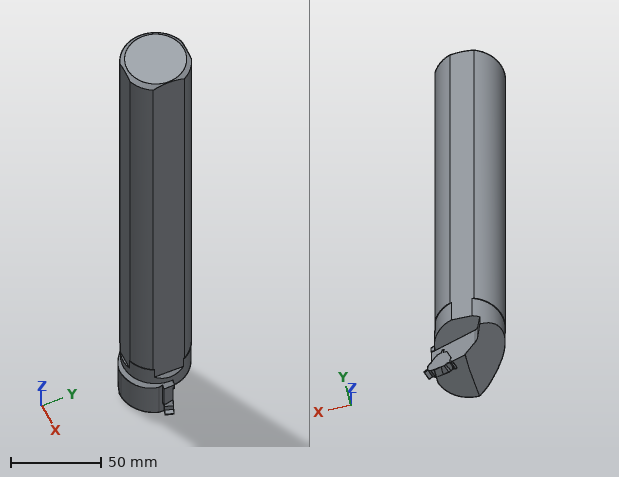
import cadquery as cq
import math


TOTAL_LENGTH = 302.0
SHANK_RADIUS = 20.0
END_CHAMFER_RADIAL = 2.7
END_CHAMFER_AXIAL = 2.0
NECK_RADIUS = 19.5
NECK_TOP = 39.3
FLAT_OFFSET_Y = 18.7
FLAT_OFFSET_X = 17.5
FLAT_BOTTOM = 32.3

HEAD_TOP = 24.2
HEAD_SLOPE_HEIGHT = 2.0
CHEEK_START = (-13.0, -15.0)
CHEEK_END = (-7.5, -19.3)
FRONT_CURVE_MIDDLE = (-4.0, -21.0)
CREST_Y = -22.0
CREST_START_X = -0.3
CREST_END_X = 1.8
SIDE_CURVE_MIDDLE = (14.8, -16.3)
SIDE_X = 20.0
SIDE_CURVE_END_Y = -7.2
NUB_X = 21.7
NUB_TOP_Y = 1.5
NUB_LOW_Y = -4.8
NUB_RELIEF_TOP = 8.8
BOTTOM_FRONT_Z = 2.57
BOTTOM_TILT = 4.0
BEVEL_LOW_X = 1.0
BEVEL_LOW_Z = 1.2
BEVEL_HIGH_Z = 25.5

RAKE_ANGLE = 17.5
FLOOR_Y = 7.5
POCKET_HEIGHT = 21.0
POCKET_CORNER_X = -6.5
POCKET_MOUTH_X = -10.5
POCKET_CORNER_RADIUS = 3.0
INSERT_X = 16.5
INSERT_Z = 7.5
INSERT_THICKNESS = 5.0
TOOTH_COUNT = 3
FIRST_TOOTH_ANGLE = -18.0
TOOTH_TIP_RADIUS = 10.5
TOOTH_HALF_WIDTH = 0.5
TOOTH_ROOT_RADIUS = 8.2
SHOULDER_RADIUS = 7.0
SHOULDER_HALF_WIDTH = 3.3

CLEARANCE = 60.5


def block(x_range, y_range, z_range):
    """Axis-aligned block between the given limits."""
    size = [high - low for low, high in (x_range, y_range, z_range)]
    corner = cq.Vector(x_range[0], y_range[0], z_range[0])
    return cq.Workplane(cq.Solid.makeBox(*size, corner))


def floor_y(x):
    """Y of the inclined pocket floor at a given X."""
    return FLOOR_Y - x * math.tan(math.radians(RAKE_ANGLE))


def make_shank():
    """Turned shank with a chamfered end and a slightly thinner neck."""
    profile = [
        (0, 0),
        (NECK_RADIUS, 0),
        (NECK_RADIUS, NECK_TOP),
        (SHANK_RADIUS, NECK_TOP),
        (SHANK_RADIUS, TOTAL_LENGTH - END_CHAMFER_AXIAL),
        (SHANK_RADIUS - END_CHAMFER_RADIAL, TOTAL_LENGTH),
        (0, TOTAL_LENGTH),
    ]
    return cq.Workplane("XZ").polyline(profile).close().revolve(360, (0, 0), (0, 1))


def flat_cutter(offset, turn):
    """Tool for a flat that runs out along a 45 degree ramp, turned about Z from the +X side."""
    profile = [
        (offset, TOTAL_LENGTH),
        (offset, FLAT_BOTTOM),
        (offset + CLEARANCE, FLAT_BOTTOM - CLEARANCE),
        (offset + CLEARANCE, TOTAL_LENGTH),
    ]
    cutter = cq.Workplane("XZ").polyline(profile).close().extrude(CLEARANCE, both=True)
    return cutter.rotate((0, 0, 0), (0, 0, 1), turn)


def cut_flats(bar):
    """Clamping flats: the front and +X ones stop above the head, the back one runs through."""
    back = block((-CLEARANCE, CLEARANCE), (FLAT_OFFSET_Y, CLEARANCE), (0, TOTAL_LENGTH))
    front = flat_cutter(FLAT_OFFSET_Y, -90)
    side = flat_cutter(FLAT_OFFSET_X, 0)
    return bar.cut(front).cut(back).cut(side)


def make_head_bulge():
    """Eccentric part of the head that stands out from the neck, with a sloped shoulder on top."""
    body = (
        cq.Workplane("XY")
        .moveTo(0, NUB_TOP_Y)
        .lineTo(*CHEEK_START)
        .lineTo(*CHEEK_END)
        .threePointArc(FRONT_CURVE_MIDDLE, (CREST_START_X, CREST_Y))
        .lineTo(CREST_END_X, CREST_Y)
        .threePointArc(SIDE_CURVE_MIDDLE, (SIDE_X, SIDE_CURVE_END_Y))
        .lineTo(SIDE_X, NUB_LOW_Y)
        .lineTo(NUB_X, NUB_LOW_Y)
        .lineTo(NUB_X, NUB_TOP_Y)
        .close()
        .extrude(HEAD_TOP + HEAD_SLOPE_HEIGHT)
    )
    shoulder_profile = [
        (0, 0),
        (CLEARANCE, 0),
        (CLEARANCE, HEAD_TOP),
        (-CREST_Y, HEAD_TOP),
        (NECK_RADIUS, HEAD_TOP + HEAD_SLOPE_HEIGHT),
        (0, HEAD_TOP + HEAD_SLOPE_HEIGHT),
    ]
    shoulder = cq.Workplane("XZ").polyline(shoulder_profile).close().revolve(360, (0, 0), (0, 1))
    return body.intersect(shoulder)


def cut_bevel(bar):
    """Slanted relief that removes the -X side of the head."""
    profile = [
        (-SHANK_RADIUS, BEVEL_HIGH_Z),
        (BEVEL_LOW_X, BEVEL_LOW_Z),
        (BEVEL_LOW_X, -CLEARANCE),
        (-CLEARANCE, -CLEARANCE),
        (-CLEARANCE, BEVEL_HIGH_Z),
    ]
    return bar.cut(cq.Workplane("XZ").polyline(profile).close().extrude(CLEARANCE, both=True))


def cut_bottom(bar):
    """End face that drops slightly from the front to the back."""
    below = block((-CLEARANCE, CLEARANCE), (CREST_Y - CLEARANCE, CLEARANCE), (-CLEARANCE, BOTTOM_FRONT_Z))
    pivot = cq.Vector(0, CREST_Y, BOTTOM_FRONT_Z)
    return bar.cut(below.rotate(pivot, pivot + cq.Vector(3, 0, 0), -BOTTOM_TILT))


def cut_chip_pocket(bar):
    """Pocket at the back of the head, with an inclined floor and a rounded inner corner."""
    outline = [
        (POCKET_CORNER_X, floor_y(POCKET_CORNER_X)),
        (CLEARANCE, floor_y(CLEARANCE)),
        (CLEARANCE, CLEARANCE),
        (POCKET_MOUTH_X, CLEARANCE),
        (POCKET_MOUTH_X, FLAT_OFFSET_Y),
    ]
    pocket = cq.Workplane("XY").polyline(outline).close().extrude(POCKET_HEIGHT)
    corner_point = (POCKET_CORNER_X, floor_y(POCKET_CORNER_X), POCKET_HEIGHT / 2)
    corner = cq.selectors.NearestToPointSelector(corner_point)
    return bar.cut(pocket.edges(corner).fillet(POCKET_CORNER_RADIUS))


def cut_nub_relief(bar):
    """Clearance below the nub, in front of the insert tooth."""
    return bar.cut(block((SIDE_X, CLEARANCE), (-CLEARANCE, CLEARANCE), (-CLEARANCE, NUB_RELIEF_TOP)))


def make_insert():
    """Three-tooth threading insert, lying flush with the pocket floor."""
    tooth_outline = [
        (SHOULDER_RADIUS, -SHOULDER_HALF_WIDTH),
        (TOOTH_ROOT_RADIUS, -TOOTH_HALF_WIDTH),
        (TOOTH_TIP_RADIUS, -TOOTH_HALF_WIDTH),
        (TOOTH_TIP_RADIUS, TOOTH_HALF_WIDTH),
        (TOOTH_ROOT_RADIUS, TOOTH_HALF_WIDTH),
        (SHOULDER_RADIUS, SHOULDER_HALF_WIDTH),
    ]
    outline = []
    for index in range(TOOTH_COUNT):
        angle = math.radians(FIRST_TOOTH_ANGLE + index * 360.0 / TOOTH_COUNT)
        for radial, across in tooth_outline:
            x = radial * math.cos(angle) - across * math.sin(angle)
            z = radial * math.sin(angle) + across * math.cos(angle)
            outline.append((x, z))
    return (
        cq.Workplane("XZ")
        .polyline(outline)
        .close()
        .extrude(INSERT_THICKNESS)
        .rotate((0, 0, 0), (0, 0, 1), -RAKE_ANGLE)
        .translate((INSERT_X, floor_y(INSERT_X), INSERT_Z))
    )


insert = make_insert()

bar = cut_flats(make_shank()).union(make_head_bulge())
bar = cut_bevel(bar)
bar = cut_bottom(bar)
bar = cut_chip_pocket(bar)
bar = cut_nub_relief(bar)
bar = bar.cut(insert)

result = cq.Compound.makeCompound([bar.solids().val(), insert.val()])